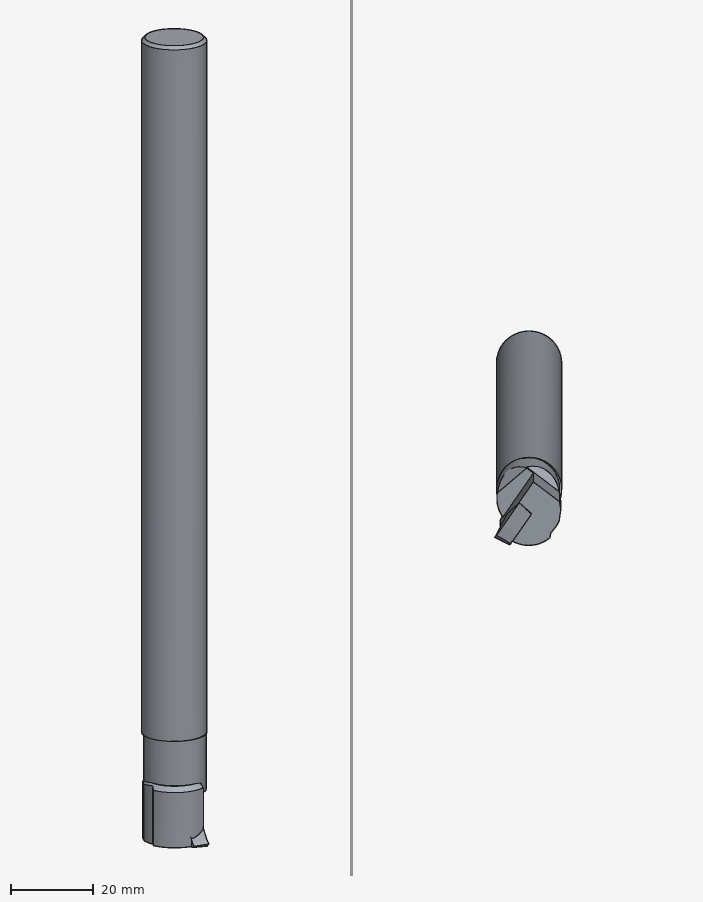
import cadquery as cq
import math

TOTAL_LENGTH = 203.2
SHANK_DIAMETER = 15.8
SHANK_BOTTOM = 27.2
SHANK_CHAMFER = 0.8

NECK_DIAMETER = 15.2
NECK_BOTTOM = 12.8
NECK_OFFSET_Y = (SHANK_DIAMETER - NECK_DIAMETER) / 2

HEAD_BOTTOM = 0.6
HEAD_TOP = 15.8
HEAD_CHAMFER = 1.2
HEAD_RADIUS = 8.0
HEAD_CENTER = (0.8, -0.8)

REAR_CORNER_X = -5.0
FLANK_CORNER = (-6.7, -3.5)
LOWER_CORNER = (-5.5, -5.38)
PAD_START = (-3.7, -7.01)
PAD_MIDDLE = (-2.0, -7.62)
PAD_END = (-0.2, -8.0)
HEAD_ARC_END = (8.7, -0.8)

FLANK_RUNOUT_BOTTOM = 14.2
FLANK_RUNOUT_TOP = 17.3
RAKE_RUNOUT_TOP = 18.7
RAKE_RUNOUT_DEPTH = 1.6
CUTTER_SIZE = 40.6

RAKE_ANGLE = 15.0
RAKE_COS = math.cos(math.radians(RAKE_ANGLE))
RAKE_SIN = math.sin(math.radians(RAKE_ANGLE))
INSERT_TIP_X = 11.0
INSERT_TIP_Y = 0.0
INSERT_SIDE = 10.5
INSERT_THICKNESS = 4.0
INSERT_CLEARANCE = 5.0
TOOTH_WIDTH = 1.6
TOOTH_LENGTH = 0.8
TIP_HEIGHT = 1.0
LOWER_EDGE_LENGTH = 6.7


def rake_y(x):
    """Y of the rake plane at a given X."""
    return INSERT_TIP_Y + (INSERT_TIP_X - x) * RAKE_SIN / RAKE_COS


def make_insert():
    """Triangular insert with one toothed corner and relieved side faces."""
    plane = cq.Plane(
        origin=(INSERT_TIP_X, INSERT_TIP_Y, 0),
        xDir=(RAKE_COS, -RAKE_SIN, 0),
        normal=(-RAKE_SIN, -RAKE_COS, 0),
    )
    apex_height = INSERT_SIDE * math.sin(math.radians(60))
    tooth_top = TIP_HEIGHT + TOOTH_WIDTH / 2
    tooth_bottom = TIP_HEIGHT - TOOTH_WIDTH / 2
    return (
        cq.Workplane(plane)
        .moveTo(-INSERT_SIDE, 0)
        .lineTo(LOWER_EDGE_LENGTH - INSERT_SIDE, 0)
        .lineTo(-TOOTH_LENGTH, tooth_bottom)
        .lineTo(0, TIP_HEIGHT)
        .lineTo(-TOOTH_LENGTH, tooth_top)
        .lineTo(-INSERT_SIDE / 2, apex_height)
        .close()
        .extrude(INSERT_THICKNESS, taper=INSERT_CLEARANCE)
    )


def make_shank():
    """Round shank, chamfered at its free end."""
    return (
        cq.Workplane("XY", origin=(0, 0, SHANK_BOTTOM))
        .circle(SHANK_DIAMETER / 2)
        .extrude(TOTAL_LENGTH - SHANK_BOTTOM)
        .faces(">Z")
        .chamfer(SHANK_CHAMFER)
    )


def flank_cutter():
    """Removes the neck beyond the flat -X flank, with a slope at the top."""
    corner_x, corner_y = FLANK_CORNER
    rear_y = rake_y(REAR_CORNER_X)
    run_x = corner_x - REAR_CORNER_X
    run_y = corner_y - rear_y
    flank_length = math.hypot(run_x, run_y)
    outward = (run_y / flank_length, -run_x / flank_length, 0)
    along = (run_x / flank_length, run_y / flank_length, 0)
    profile_plane = cq.Plane(origin=(corner_x, corner_y, 0), xDir=outward, normal=(-along[0], -along[1], 0))
    axis_to_flank = corner_x * outward[0] + corner_y * outward[1]
    slope_depth = NECK_DIAMETER / 2 - axis_to_flank
    return (
        cq.Workplane(profile_plane)
        .polyline([
            (0, 0),
            (0, FLANK_RUNOUT_BOTTOM),
            (slope_depth, FLANK_RUNOUT_TOP),
            (CUTTER_SIZE, FLANK_RUNOUT_TOP),
            (CUTTER_SIZE, 0),
        ])
        .close()
        .extrude(CUTTER_SIZE, both=True)
    )


def rake_runout_cutter():
    """Slopes the +Y side of the neck inward toward the rake face."""
    neck_edge = SHANK_DIAMETER / 2
    return (
        cq.Workplane("YZ")
        .polyline([
            (neck_edge - RAKE_RUNOUT_DEPTH, NECK_BOTTOM),
            (neck_edge, RAKE_RUNOUT_TOP),
            (CUTTER_SIZE, RAKE_RUNOUT_TOP),
            (CUTTER_SIZE, NECK_BOTTOM),
        ])
        .close()
        .extrude(CUTTER_SIZE, both=True)
    )


def make_neck():
    """Reduced neck with both run-outs cut into its lower end."""
    neck = (
        cq.Workplane("XY", origin=(0, NECK_OFFSET_Y, NECK_BOTTOM))
        .circle(NECK_DIAMETER / 2)
        .extrude(SHANK_BOTTOM - NECK_BOTTOM)
    )
    return neck.cut(flank_cutter()).cut(rake_runout_cutter())


def make_head():
    """Cutting head: flat flank and rake faces, a stepped round back and a chamfered top."""
    center_x, center_y = HEAD_CENTER
    arc_start = (center_x, center_y - HEAD_RADIUS)
    diagonal = HEAD_RADIUS * math.sqrt(0.5)
    arc_middle = (center_x + diagonal, center_y - diagonal)
    head = (
        cq.Workplane("XY", origin=(0, 0, HEAD_BOTTOM))
        .moveTo(REAR_CORNER_X, rake_y(REAR_CORNER_X))
        .lineTo(*FLANK_CORNER)
        .lineTo(*LOWER_CORNER)
        .lineTo(*PAD_START)
        .threePointArc(PAD_MIDDLE, PAD_END)
        .lineTo(*arc_start)
        .threePointArc(arc_middle, HEAD_ARC_END)
        .lineTo(HEAD_ARC_END[0], rake_y(HEAD_ARC_END[0]))
        .close()
        .extrude(HEAD_TOP - HEAD_BOTTOM)
    )
    chamfer_plane = cq.Workplane("XY", origin=(center_x, center_y, HEAD_TOP - HEAD_CHAMFER))
    cone = chamfer_plane.circle(HEAD_RADIUS).extrude(HEAD_CHAMFER, taper=45)
    chamfer_cutter = chamfer_plane.circle(CUTTER_SIZE).extrude(HEAD_CHAMFER).cut(cone)
    return head.cut(chamfer_cutter)


insert = make_insert()
bar = make_shank().union(make_neck()).union(make_head()).cut(insert)

result = cq.Compound.makeCompound([bar.solids().val(), insert.val()])